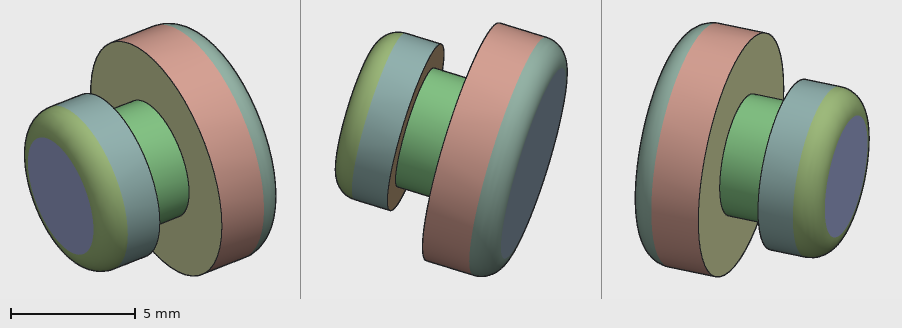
import cadquery as cq

head_diameter = 10
head_thickness = 3
neck_diameter = 5
neck_length = 2
button_diameter = 7
button_thickness = 2.5
edge_radius = 1

total_length = button_thickness + neck_length + head_thickness


def disc(diameter, start, length):
    """Cylinder along +Y whose flat face lies at Y = start."""
    plane = cq.Workplane("XZ", origin=(0, start, 0))
    return plane.circle(diameter / 2).extrude(-length)


button = disc(button_diameter, 0, button_thickness).faces("<Y").edges().fillet(edge_radius)
head_start = button_thickness + neck_length
head = disc(head_diameter, head_start, head_thickness).faces(">Y").edges().fillet(edge_radius)

neck = disc(neck_diameter, button_thickness, neck_length)

grommet = button.union(neck).union(head)

result = grommet.translate((0, -total_length / 2, 0))